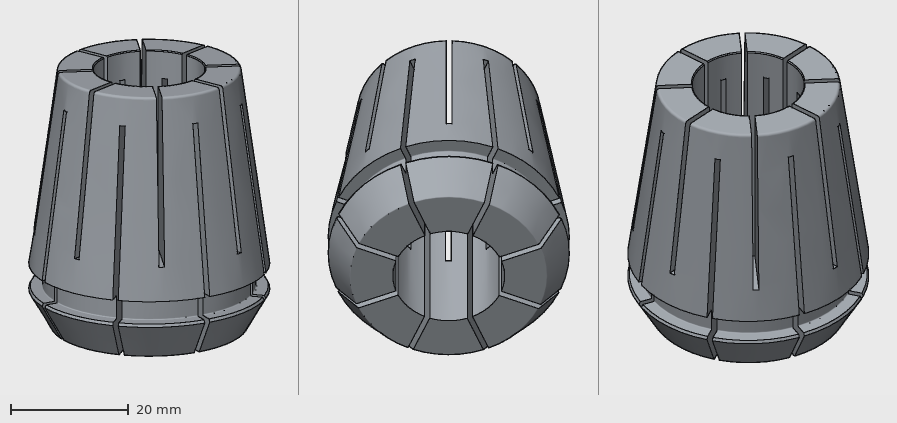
import cadquery as cq
import math

length = 46.0
max_diameter = 41.0
bore_diameter = 19.0
max_radius = max_diameter / 2
bore_radius = bore_diameter / 2

taper_angle = 8.0
nose_angle = 30.0

groove_bottom = 7.0
groove_top = 11.1
groove_diameter = 36.2
groove_radius = groove_diameter / 2

rim_chamfer_height = 0.5
rim_chamfer_inset = 0.28
top_fillet = 0.5
nose_fillet = 0.2
groove_root_fillet = 0.2
bore_chamfer = 0.2

slots_per_end = 8
slot_width = 0.95
bottom_slot_wall = 5.0
top_slot_depth = 29.03
cutter_length = 1.2 * max_diameter
slot_pitch = 360.0 / slots_per_end

rim_height = groove_bottom - rim_chamfer_height
nose_radius = max_radius - rim_height * math.tan(math.radians(nose_angle))
top_radius = max_radius - (length - groove_top) * math.tan(math.radians(taper_angle))


def make_body():
    """Revolve the outer profile, finish its edges and bore it through."""
    body = (
        cq.Workplane("XZ")
        .moveTo(0, 0)
        .lineTo(nose_radius, 0)
        .lineTo(max_radius, rim_height)
        .lineTo(max_radius - rim_chamfer_inset, groove_bottom)
        .lineTo(groove_radius, groove_bottom)
        .lineTo(groove_radius, groove_top)
        .lineTo(max_radius, groove_top)
        .lineTo(top_radius, length)
        .lineTo(0, length)
        .close()
        .revolve(360, (0, 0, 0), (0, 1, 0))
    )
    body = body.faces("%CYLINDER").edges("%CIRCLE").fillet(groove_root_fillet)
    body = body.faces(">Z").edges().fillet(top_fillet)
    body = body.faces("<Z").edges().fillet(nose_fillet)
    body = body.faces("<Z").workplane().circle(bore_radius).cutThruAll()
    bore_mouth = cq.selectors.RadiusNthSelector(0)
    return body.faces(">Z").edges(bore_mouth).chamfer(bore_chamfer)


def make_slots(bottom, top, start_angle):
    """Unite slot cutters evenly spaced around the axis between two heights."""
    height = top - bottom
    slot = cq.Workplane("XY").workplane(offset=bottom).rect(cutter_length, slot_width).extrude(height)
    slots = cq.Workplane("XY")
    for index in range(slots_per_end // 2):
        slots = slots.add(slot.rotate((0, 0, 0), (0, 0, 1), start_angle + index * slot_pitch))
    return slots.combine()


bottom_slots = make_slots(0, length - bottom_slot_wall, 0)
top_slots = make_slots(length - top_slot_depth, length, slot_pitch / 2)

result = make_body().cut(bottom_slots).cut(top_slots)